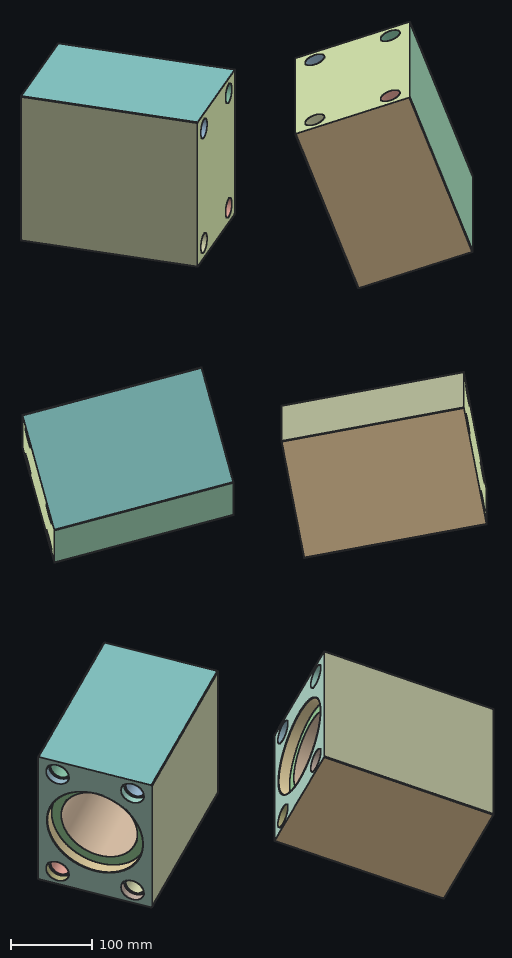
import cadquery as cq

length = 228.0
width = 150.0
height = 200.0
edge_chamfer = 1.0

bore_diameter = 100.0
mouth_diameter = 125.5
mouth_depth = 15.0
mouth_chamfer = 0.7
side_wall = (width - bore_diameter) / 2
bore_depth = length - side_wall

bolt_diameter = 25.0
counterbore_diameter = 30.0
counterbore_depth = 10.0
bolt_spacing_y = 98.5
bolt_spacing_z = 158.2


def make_block():
    """Block from X = 0 to X = length, with its four long edges chamfered."""
    block = cq.Workplane("XY").box(length, width, height, centered=(False, True, True))
    return block.edges("|X").chamfer(edge_chamfer)


def cut_bore(body):
    """Cut the blind bore and its stepped mouth as one revolved profile about X."""
    bore_radius = bore_diameter / 2
    mouth_radius = mouth_diameter / 2
    profile = (
        cq.Workplane("XY")
        .moveTo(0, 0)
        .lineTo(0, mouth_radius + mouth_chamfer)
        .lineTo(mouth_chamfer, mouth_radius)
        .lineTo(mouth_depth, mouth_radius)
        .lineTo(mouth_depth, bore_radius)
        .lineTo(bore_depth, bore_radius)
        .lineTo(bore_depth, 0)
        .close()
    )
    return body.cut(profile.revolve(360, (0, 0, 0), (1, 0, 0)))


def cut_bolt_holes(body):
    """Cut the four through holes, counterbored from the open end of the bore."""
    pattern = cq.Workplane("YZ").rect(bolt_spacing_y, bolt_spacing_z, forConstruction=True).vertices()
    holes = pattern.circle(bolt_diameter / 2).extrude(length)
    counterbores = pattern.circle(counterbore_diameter / 2).extrude(counterbore_depth)
    return body.cut(holes).cut(counterbores)


result = cut_bolt_holes(cut_bore(make_block()))